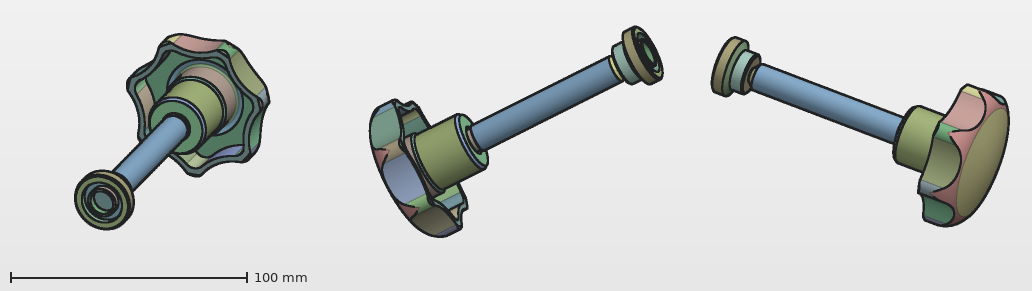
import cadquery as cq
import math

overall_length = 126.0

lobe_count = 7
knob_radius = 31.5
valley_radius = 26.1
lobe_round = 4.5
pocket_tip_radius = 27.5
pocket_valley_radius = 23.5
pocket_round = 4.9
dome_radius = 83.2
dome_edge_round = 10.0
rim_chamfer_radial = 1.1
rim_chamfer_axial = 0.9
rim_height = overall_length - 19.0
pocket_depth = 12.6

collar_diameter = 28.0
collar_chamfer_axial = 1.0
collar_tip_depth = 1.5
moat_diameter = 34.6
moat_root_diameter = 30.2
moat_depth = 1.0
hub_diameter = 26.0
hub_height = overall_length - 40.0
hub_chamfer_radial = 1.0
hub_chamfer_axial = 1.5
countersink_diameter = 12.7
countersink_depth = 0.5

stud_diameter = 12.0
neck_diameter = 10.3
neck_engagement = 15.1
shoulder_height = hub_height - 2.0
cone_top_height = 15.9
tip_diameter = 6.5
tip_engagement = 3.8

pad_height = 13.0
pad_diameter = 25.0
pad_collar_diameter = 18.0
pad_chamfer = 0.6
flange_height = 5.3
flare_top_height = 7.0
pad_recess_diameter = 18.3
pad_recess_depth = 3.3
tube_diameter = 12.6
tube_bore_diameter = 10.3
tube_bore_depth = 4.0


def revolve_about_axis(profile):
    """Turn a closed half profile drawn as (radius, Y) once around the Y axis."""
    return profile.close().revolve(360, (0, 0), (0, 1))


def turned(points):
    """Solid of revolution from straight-sided (radius, Y) points."""
    return revolve_about_axis(cq.Workplane("XY").polyline(points))


def cylinder(diameter, bottom, top):
    radius = diameter / 2
    return turned([(0, bottom), (radius, bottom), (radius, top), (0, top)])


def polar(radius, angle):
    return (radius * math.cos(angle), radius * math.sin(angle))


def star_prism(tip_radius, valley, tip_round, bottom, top):
    """Prism with a star outline of convex lobe arcs tangent to concave valley arcs."""
    half_pitch = math.pi / lobe_count
    lobe_center = tip_radius - tip_round
    valley_round = (
        (valley**2 + lobe_center**2 - 2 * valley * lobe_center * math.cos(half_pitch) - tip_round**2)
        / (2 * (tip_round - valley + lobe_center * math.cos(half_pitch)))
    )
    valley_center = valley + valley_round
    fraction = tip_round / (tip_round + valley_round)
    along = lobe_center + fraction * (valley_center * math.cos(half_pitch) - lobe_center)
    across = fraction * valley_center * math.sin(half_pitch)
    tangent_radius = math.hypot(along, across)
    tangent_angle = math.atan2(across, along)

    first_lobe = -math.pi / 2
    outline = cq.Workplane("XZ", origin=(0, top, 0))
    outline = outline.moveTo(*polar(tangent_radius, first_lobe - tangent_angle))
    for index in range(lobe_count):
        lobe = first_lobe + 2 * half_pitch * index
        next_lobe = lobe + 2 * half_pitch
        outline = outline.threePointArc(
            polar(tip_radius, lobe), polar(tangent_radius, lobe + tangent_angle)
        )
        outline = outline.threePointArc(
            polar(valley, lobe + half_pitch), polar(tangent_radius, next_lobe - tangent_angle)
        )
    return outline.close().extrude(top - bottom)


def knob_envelope():
    """Turned outer shape of the knob: crowned top, rounded edge and chamfered rim."""
    dome_center = overall_length - dome_radius
    edge_center_radius = knob_radius - dome_edge_round
    blend = math.asin(edge_center_radius / (dome_radius - dome_edge_round))
    edge_center_height = dome_center + (dome_radius - dome_edge_round) * math.cos(blend)

    def on_crown(angle):
        return (dome_radius * math.sin(angle), dome_center + dome_radius * math.cos(angle))

    edge_middle = (blend + math.pi / 2) / 2
    profile = (
        cq.Workplane("XY")
        .moveTo(0, rim_height)
        .lineTo(knob_radius - rim_chamfer_radial, rim_height)
        .lineTo(knob_radius, rim_height + rim_chamfer_axial)
        .lineTo(knob_radius, edge_center_height)
        .threePointArc(
            (
                edge_center_radius + dome_edge_round * math.sin(edge_middle),
                edge_center_height + dome_edge_round * math.cos(edge_middle),
            ),
            on_crown(blend),
        )
        .threePointArc(on_crown(blend / 2), (0, overall_length))
    )
    return revolve_about_axis(profile)


def make_moat():
    """Sloping ring cut into the pocket floor and rounded tangent into the collar."""
    collar_radius = collar_diameter / 2
    moat_radius = moat_diameter / 2
    root_radius = moat_root_diameter / 2
    pocket_floor = rim_height + pocket_depth
    root_height = pocket_floor + moat_depth
    slope = math.atan2(moat_depth, moat_radius - root_radius)
    root_round = (root_radius - collar_radius) / (1 + math.sin(slope))
    round_center_height = root_height - root_round * math.cos(slope)
    middle = (math.pi / 2 - slope + math.pi) / 2
    profile = (
        cq.Workplane("XY")
        .moveTo(collar_radius, pocket_floor)
        .lineTo(moat_radius, pocket_floor)
        .lineTo(root_radius, root_height)
        .threePointArc(
            (
                collar_radius + root_round + root_round * math.cos(middle),
                round_center_height + root_round * math.sin(middle),
            ),
            (collar_radius, round_center_height),
        )
    )
    return revolve_about_axis(profile)


def make_hub():
    """Collar inside the pocket, stepping down by a chamfer to the projecting hub."""
    collar_radius = collar_diameter / 2
    hub_radius = hub_diameter / 2
    collar_end = rim_height + collar_tip_depth
    hub_top = rim_height + pocket_depth + moat_depth
    return turned([
        (0, hub_top),
        (collar_radius, hub_top),
        (collar_radius, collar_end),
        (hub_radius, collar_end - collar_chamfer_axial),
        (hub_radius, hub_height + hub_chamfer_axial),
        (hub_radius - hub_chamfer_radial, hub_height),
        (0, hub_height),
    ])


def make_knob():
    knob = knob_envelope().intersect(
        star_prism(knob_radius, valley_radius, lobe_round, rim_height, overall_length)
    )
    pocket = star_prism(
        pocket_tip_radius, pocket_valley_radius, pocket_round, rim_height, rim_height + pocket_depth
    )
    neck_radius = neck_diameter / 2
    stud_hole = turned([
        (0, hub_height),
        (countersink_diameter / 2, hub_height),
        (neck_radius, hub_height + countersink_depth),
        (neck_radius, hub_height + neck_engagement),
        (0, hub_height + neck_engagement),
    ])
    return knob.cut(pocket).union(make_hub()).cut(make_moat()).cut(stud_hole)


def make_stud():
    stud_radius = stud_diameter / 2
    neck_radius = neck_diameter / 2
    tip_radius = tip_diameter / 2
    cone_bottom = cone_top_height - (stud_radius - tip_radius)
    tip_end = pad_height - tip_engagement
    neck_end = hub_height + neck_engagement
    return turned([
        (0, tip_end),
        (tip_radius, tip_end),
        (tip_radius, cone_bottom),
        (stud_radius, cone_top_height),
        (stud_radius, shoulder_height),
        (neck_radius, shoulder_height),
        (neck_radius, neck_end),
        (0, neck_end),
    ])


def make_pad():
    flange_radius = pad_diameter / 2
    collar_radius = pad_collar_diameter / 2
    pad = turned([
        (0, 0),
        (flange_radius - pad_chamfer, 0),
        (flange_radius, pad_chamfer),
        (flange_radius, flange_height),
        (collar_radius, flare_top_height),
        (collar_radius, pad_height - pad_chamfer),
        (collar_radius - pad_chamfer, pad_height),
        (0, pad_height),
    ])
    recess = cylinder(pad_recess_diameter, 0, pad_recess_depth).cut(
        cylinder(tube_diameter, 0, pad_recess_depth)
    )
    tube_bore = cylinder(tube_bore_diameter, 0, tube_bore_depth)
    stud_socket = cylinder(tip_diameter, pad_height - tip_engagement, pad_height)
    return pad.cut(recess).cut(tube_bore).cut(stud_socket)


knob = make_knob()
stud = make_stud()
pad = make_pad()

result = cq.Compound.makeCompound([knob.solids().val(), stud.solids().val(), pad.solids().val()])